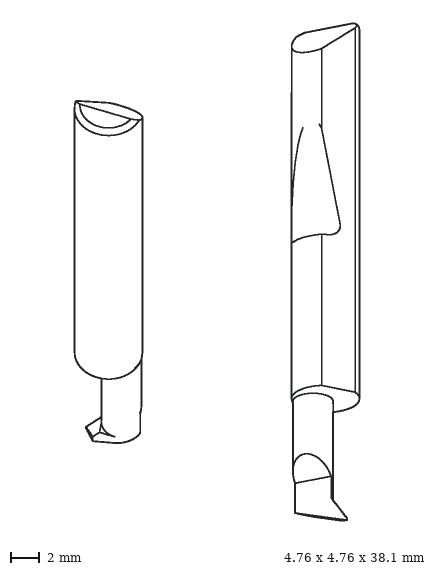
import cadquery as cq
import math

total_length = 38.1
shank_radius = 2.38
shank_bottom = 9.55
top_chamfer = 0.4

flat_distance = 2.0
flat_normal_angle = 143.0

ramp_top_y = -0.6

notch_top = 30.0
notch_bottom = 21.07
notch_slope = 9.4
notch_radius = 0.88

neck_radius = 1.4
neck_x = shank_radius - neck_radius
relief_bottom = 3.6

nose_x = -1.68
nose_land = 0.15
head_top = 1.95
flank_angle = 55.5
end_slope = math.tan(math.radians(18.0))
back_nose_x = -0.65
back_nose_bottom = 0.7
back_nose_top = 1.22

clearance = 1.9


def yz_prism(points):
    """Prism of a (y, z) outline that spans the full width of the part."""
    half_width = shank_radius + clearance
    return cq.Workplane("YZ").polyline(points).close().extrude(half_width, both=True)


def loft_from_rake_to_back(rake_points, back_points):
    """Straight-sided solid between (x, z) outlines on the rake and back faces."""
    return (
        cq.Workplane("XZ")
        .polyline(rake_points)
        .close()
        .workplane(offset=neck_radius)
        .polyline(back_points)
        .close()
        .loft(ruled=True)
    )


def make_flat_cutter():
    depth = shank_radius
    return (
        cq.Workplane("XY")
        .box(depth, 2 * shank_radius, total_length, centered=(False, True, False))
        .translate((flat_distance, 0, 0))
        .rotate((0, 0, 0), (0, 0, 1), flat_normal_angle)
    )


def make_ramp_cutter():
    run = shank_radius + clearance - ramp_top_y
    start_y = ramp_top_y - clearance
    start_z = total_length + clearance
    end_y = ramp_top_y + run
    return yz_prism([(start_y, start_z), (end_y, total_length - run), (end_y, start_z)])


def make_notch_cutter():
    """Right-angled notch, tilted by the slope of its long face, with a round corner."""
    slope = math.radians(notch_slope)
    long_face = (notch_top - notch_bottom) * math.cos(slope)
    corner_y = shank_radius - long_face * math.sin(slope)
    corner_z = notch_top - long_face * math.cos(slope)
    width = 2 * (shank_radius + clearance)
    return (
        cq.Workplane("XY")
        .box(width, 2 * shank_radius, long_face + clearance, centered=(True, False, False))
        .edges("|X and <Y and <Z")
        .fillet(notch_radius)
        .rotate((0, 0, 0), (1, 0, 0), -notch_slope)
        .translate((0, corner_y, corner_z))
    )


def make_shank():
    shank = (
        cq.Workplane("XY", origin=(0, 0, shank_bottom))
        .circle(shank_radius)
        .extrude(total_length - shank_bottom)
        .faces(">Z")
        .chamfer(top_chamfer)
    )
    return shank.cut(make_flat_cutter()).cut(make_ramp_cutter()).cut(make_notch_cutter())


def make_relief_cutter():
    """Removes the +Y half of the neck's lower end, ending in a 45 degree ramp."""
    depth = neck_radius + clearance
    return yz_prism(
        [
            (0, -clearance),
            (0, relief_bottom),
            (depth, relief_bottom + depth),
            (depth, -clearance),
        ]
    )


def make_end_cutter():
    """Space below the sloping end face of the neck."""
    far_x = shank_radius + clearance

    def outline(start_x, start_z):
        far_z = start_z + (far_x - start_x) * end_slope
        return [(start_x, start_z), (far_x, far_z), (far_x, -clearance), (start_x, -clearance)]

    return loft_from_rake_to_back(outline(nose_x, 0), outline(back_nose_x, back_nose_bottom))


def make_neck():
    neck = cq.Workplane("XY").center(neck_x, 0).circle(neck_radius).extrude(shank_bottom)
    return neck.cut(make_relief_cutter()).cut(make_end_cutter())


def make_head():
    """Cutting point whose flank, nose and end faces lean inward towards the back."""

    def outline(front_x, bottom_z, top_z):
        flank_run = (head_top - top_z) / math.tan(math.radians(flank_angle))
        end_z = bottom_z + (neck_x - front_x) * end_slope
        return [
            (front_x, bottom_z),
            (front_x, top_z),
            (front_x + flank_run, head_top),
            (neck_x, head_top),
            (neck_x, end_z),
        ]

    return loft_from_rake_to_back(
        outline(nose_x, 0, nose_land),
        outline(back_nose_x, back_nose_bottom, back_nose_top),
    )


result = make_shank().union(make_neck()).union(make_head())